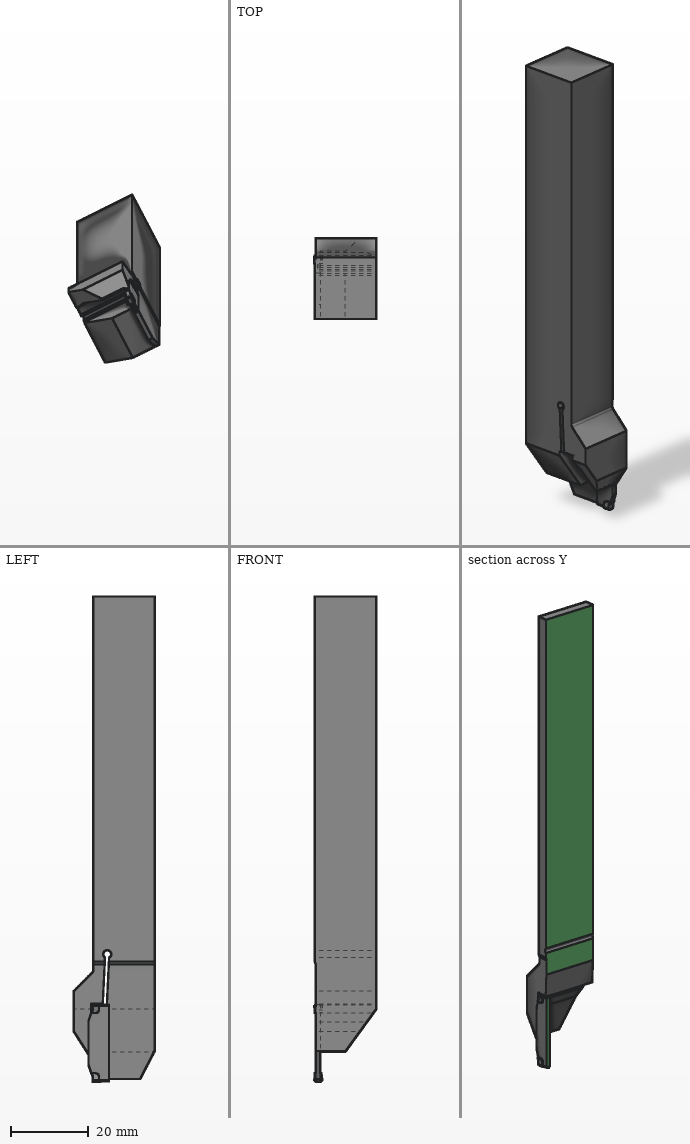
import cadquery as cq

overall_length = 125.0
shank_size = 15.9
overall_depth = 20.9

head_setback = 0.2
blade_right = 1.5
head_bottom = 7.8
step_top = 31.0
step_height = 0.8

blade_bottom = 0.8
heel_run = 3.8
heel_top = 8.0
jaw_shoulder_top = 28.4
jaw_shoulder_bottom = jaw_shoulder_top - (overall_depth - shank_size)
jaw_slope_top = 13.0
jaw_slope_run = 4.5
jaw_slope_drop = 7.0
jaw_fillet = 1.0

right_slope_top = 18.8
head_bottom_right = 7.9

slit_hole_y = 12.2
slit_hole_z = 32.9
slit_hole_radius = 1.0
slit_bottom_y = 12.9
slit_width = 1.0

relief_low_y = 13.9
relief_bottom = 17.8
relief_top = 20.1

insert_length = 20.0
insert_seat_y = 11.8
insert_crown_y = 17.1
cutting_edge_y = 16.0
insert_heel_lift = 0.1
neck_y = 16.4
tip_height = 1.5
neck_height = 2.2
crown_start = 4.5
insert_left = head_setback
insert_right = blade_right
tip_left = -0.1
tip_right = 2.0
tip_flank_height = 2.2
tip_corner = 0.5
flank_overhang = 0.2
tip_inner_y = 14.4
tip_rounding = 0.9


def plate(points, left, right):
    """Prism along X between two X positions, from an outline of (Y, Z) points."""
    return cq.Workplane("YZ").workplane(offset=left).polyline(points).close().extrude(right - left)


def insert_outline():
    """Closed (Y, Z) outline of the insert, the same at both ends."""
    lower = [
        (insert_seat_y, insert_heel_lift),
        (cutting_edge_y, 0),
        (cutting_edge_y, tip_height),
        (neck_y, neck_height),
        (insert_crown_y, crown_start),
    ]
    upper = [(y, insert_length - z) for y, z in reversed(lower)]
    return lower + upper


def make_holder():
    side = [
        (0, overall_length),
        (0, heel_top),
        (heel_run, blade_bottom),
        (insert_seat_y, blade_bottom),
        (insert_seat_y, jaw_slope_top - jaw_slope_drop),
        (overall_depth - jaw_slope_run, jaw_slope_top - jaw_slope_drop),
        (overall_depth, jaw_slope_top),
        (overall_depth, jaw_shoulder_bottom),
        (shank_size, jaw_shoulder_top),
        (shank_size, overall_length),
    ]
    holder = plate(side, 0, shank_size)

    jaw_corner = cq.selectors.NearestToPointSelector((shank_size / 2, shank_size, jaw_shoulder_top))
    holder = holder.edges(jaw_corner).fillet(jaw_fillet)

    front = (
        cq.Workplane("XZ")
        .moveTo(0, overall_length)
        .lineTo(0, step_top)
        .lineTo(head_setback, step_top - step_height)
        .lineTo(head_setback, 0)
        .lineTo(blade_right, 0)
        .lineTo(blade_right, head_bottom)
        .lineTo(head_bottom_right, head_bottom)
        .lineTo(shank_size, right_slope_top)
        .lineTo(shank_size, overall_length)
        .close()
        .extrude(-overall_depth)
    )
    holder = holder.intersect(front)

    pocket = plate(insert_outline(), 0, shank_size)
    relief = plate(
        [
            (relief_low_y, relief_bottom),
            (neck_y, relief_bottom),
            (neck_y, relief_top),
            (relief_low_y, relief_top),
        ],
        0,
        shank_size,
    )
    half_slit = slit_width / 2
    slit = plate(
        [
            (slit_hole_y - half_slit, slit_hole_z),
            (slit_hole_y + half_slit, slit_hole_z),
            (slit_bottom_y + half_slit, insert_length - insert_heel_lift),
            (slit_bottom_y - half_slit, insert_length - insert_heel_lift),
        ],
        0,
        shank_size,
    )
    slit_hole = (
        cq.Workplane("YZ").center(slit_hole_y, slit_hole_z).circle(slit_hole_radius).extrude(shank_size)
    )
    return holder.cut(pocket).cut(relief).cut(slit).cut(slit_hole)


def make_insert_half():
    """Lower half of the insert: thin core with a wider cutting tip, both chamfered at the end."""
    core_profile = [
        (insert_left + tip_corner, 0),
        (insert_right - tip_corner, 0),
        (insert_right, tip_corner),
        (insert_right, insert_length / 2),
        (insert_left, insert_length / 2),
        (insert_left, tip_corner),
    ]
    tip_profile = [
        (tip_left + tip_corner, 0),
        (tip_right - tip_corner, 0),
        (tip_right, tip_corner),
        (insert_right + flank_overhang, tip_flank_height),
        (insert_left - flank_overhang, tip_flank_height),
        (tip_left, tip_corner),
    ]
    tip_window = (
        cq.Workplane("YZ")
        .workplane(offset=tip_left)
        .moveTo(tip_inner_y, 0)
        .lineTo(tip_inner_y, tip_flank_height - tip_rounding)
        .radiusArc((tip_inner_y + tip_rounding, tip_flank_height), tip_rounding)
        .lineTo(insert_crown_y, tip_flank_height)
        .lineTo(insert_crown_y, 0)
        .close()
        .extrude(tip_right - tip_left)
    )
    core = cq.Workplane("XZ").polyline(core_profile).close().extrude(-overall_depth)
    tip = cq.Workplane("XZ").polyline(tip_profile).close().extrude(-overall_depth)
    side = plate(insert_outline(), tip_left, tip_right)
    return core.union(tip.intersect(tip_window)).intersect(side)


def make_insert():
    lower_half = make_insert_half()
    upper_half = lower_half.mirror("XY", (0, 0, insert_length / 2))
    return lower_half.union(upper_half).clean()


holder = make_holder()
insert = make_insert()
result = cq.Compound.makeCompound([holder.val(), insert.val()])